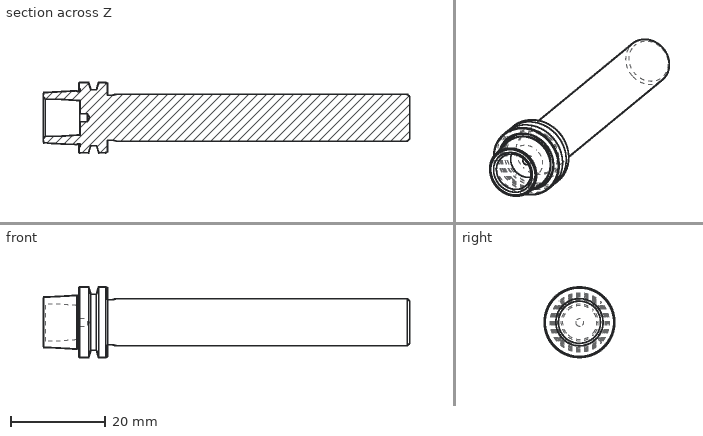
import cadquery as cq

overall_length = 77.7
taper_end = 7.15
flange_front = 7.5
groove_start = 9.6
groove_end = 11.7
groove_flank = 0.5
flange_back = 13.7
neck_end = 14.8
body_start = 15.5

taper_tip_diameter = 10.7
taper_base_diameter = 11.5
undercut_diameter = 11.2
flange_diameter = 15.0
groove_diameter = 12.0
neck_diameter = 9.6
body_diameter = 10.0
bore_mouth_diameter = 8.85
bore_diameter = 7.85
bore_floor_diameter = 7.2
center_hole_diameter = 1.6

tip_chamfer_depth = 0.12
tip_chamfer_drop = 0.3
flange_front_chamfer = 0.15
flange_back_chamfer = 0.5
flange_back_drop = 0.2
body_end_chamfer = 0.55
face_recess_diameter = 12.6
face_recess_depth = 0.2
bore_mouth_chamfer = 0.4
bore_straight_end = 3.1
bore_depth = 7.8
center_hole_depth = 1.55
center_hole_cone = 0.5


def revolve_profile(stations):
    """Turn (x, diameter) stations about the X axis into a solid.

    The first and last stations lie on the axis, with diameter 0.
    """
    points = [(x, diameter / 2) for x, diameter in stations]
    profile = cq.Workplane("XY").polyline(points).close()
    return profile.revolve(360, (0, 0, 0), (1, 0, 0))


exterior = revolve_profile([
    (0, 0),
    (0, taper_tip_diameter - 2 * tip_chamfer_drop),
    (tip_chamfer_depth, taper_tip_diameter),
    (taper_end, taper_base_diameter),
    (taper_end + (taper_base_diameter - undercut_diameter) / 2, undercut_diameter),
    (flange_front + face_recess_depth, undercut_diameter),
    (flange_front + face_recess_depth, face_recess_diameter - 2 * face_recess_depth),
    (flange_front, face_recess_diameter),
    (flange_front, flange_diameter - 2 * flange_front_chamfer),
    (flange_front + flange_front_chamfer, flange_diameter),
    (groove_start, flange_diameter),
    (groove_start + groove_flank, groove_diameter),
    (groove_end - groove_flank, groove_diameter),
    (groove_end, flange_diameter),
    (flange_back - flange_back_chamfer, flange_diameter),
    (flange_back, flange_diameter - 2 * flange_back_drop),
    (flange_back, neck_diameter),
    (neck_end, neck_diameter),
    (body_start, body_diameter),
    (overall_length - body_end_chamfer, body_diameter),
    (overall_length, body_diameter - 2 * body_end_chamfer),
    (overall_length, 0),
])

bore = revolve_profile([
    (0, 0),
    (0, bore_mouth_diameter),
    (bore_mouth_chamfer, bore_diameter),
    (bore_straight_end, bore_diameter),
    (bore_depth, bore_floor_diameter),
    (bore_depth, 0),
])

center_hole = revolve_profile([
    (bore_depth, 0),
    (bore_depth, center_hole_diameter),
    (bore_depth + center_hole_depth, center_hole_diameter),
    (bore_depth + center_hole_depth + center_hole_cone, 0),
])

result = exterior.cut(bore).cut(center_hole)